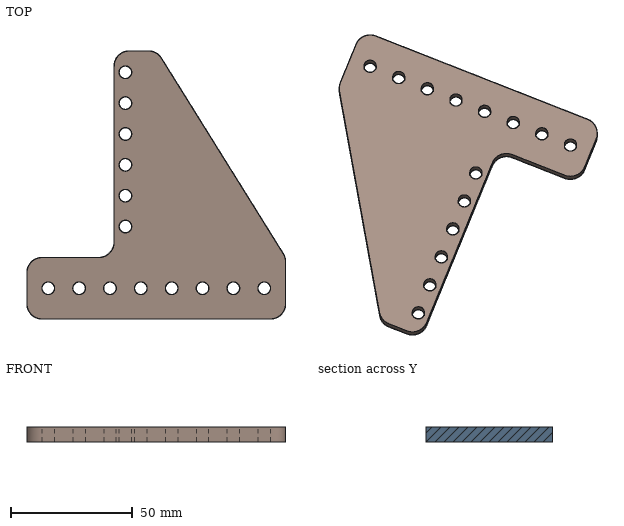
import cadquery as cq

width = 106.6
height = 110.4
thickness = 6.3
corner_radius = 6.3

hole_diameter = 5.1
hole_pitch = 12.7
foot_hole_count = 8
upright_hole_count = 6

foot_height = 2 * hole_pitch
foot_row_y = foot_height / 2
foot_row_start_x = (width - (foot_hole_count - 1) * hole_pitch) / 2

upright_left_x = 35.9
upright_top_width = 17.7
upright_row_x = foot_row_start_x + 2.5 * hole_pitch
upright_row_start_y = foot_height + hole_pitch


def make_plate():
    """Flat gusset with one sloping side and all corners rounded."""
    corners = [
        (0, 0),
        (width, 0),
        (width, foot_height),
        (upright_left_x + upright_top_width, height),
        (upright_left_x, height),
        (upright_left_x, foot_height),
        (0, foot_height),
    ]
    plate = cq.Workplane("XY").polyline(corners).close().extrude(thickness)
    return plate.edges("|Z").fillet(corner_radius)


foot_holes = [
    (foot_row_start_x + i * hole_pitch, foot_row_y) for i in range(foot_hole_count)
]
upright_holes = [
    (upright_row_x, upright_row_start_y + i * hole_pitch) for i in range(upright_hole_count)
]
hole_cutter = (
    cq.Workplane("XY")
    .pushPoints(foot_holes + upright_holes)
    .circle(hole_diameter / 2)
    .extrude(thickness)
)

result = make_plate().cut(hole_cutter)